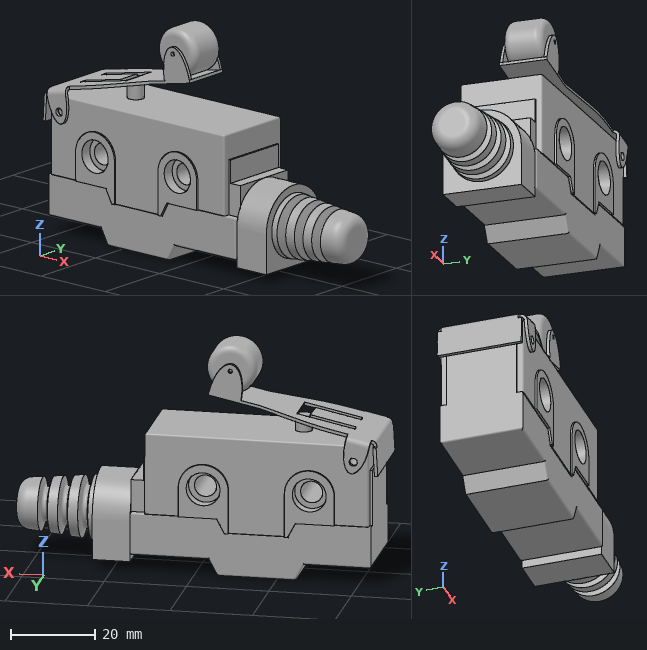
import cadquery as cq
import math


overall_length = 89.1

case_width = 20.9
edge_radius = 0.5
joint_radius = 0.3
base_length = 58.5
base_bottom = 4.0
base_top = 14.3
foot_start, foot_end = 18.3, 37.3
foot_slope_run = 2.1
notch_bottom = 10.8
notch_slope_run = 1.9
core_width = 17.6
core_length = 55.5
core_top = 28.1
extension_top = 22.3
cover_start, cover_end = 0.5, 55.0
cover_top = 34.5

mount_x = (14.9, 40.6)
mount_z = 21.55
boss_radius = 6.1
boss_height = 0.45
mount_hole_diameter = 5.3
counterbore_diameter = 8.2
counterbore_depth = 2.9

plunger_x = 18.35
plunger_diameter = 4.1
plunger_top = 38.3

grip_length = 9.2
grip_width = 20.0
grip_bottom = 2.1
cable_z = 12.2
boot_length = 19.7
boot_radius = 8.0
boot_taper = 0.1
groove_count = 3
groove_start = 1.5
groove_pitch = 5.0
groove_width = 2.5
groove_depth = 2.5
groove_neck_radius = 0.7
boot_tip_radius = 3.0

pivot_x, pivot_z = 4.1, 30.6
pivot_diameter = 2.0
lever_tilt = 12.0
sheet = 0.8
plate_top = 5.9
plate_bottom = plate_top - sheet
flap_corner = -4.2
flap_bottom = -2.1
flap_tip_x = base_length + grip_length + boot_length - overall_length
flap_width = 21.2
flap_shoulder = 4.5
bend_radius = 1.25
plate_width = 19.4
ear_span = 22.9
ear_width = 5.9
ear_bend_radius = 1.7
ear_reach = 7.1
arm_width = 12.1

roller_u, roller_v = 34.2, 12.3
roller_diameter = 12.3
roller_width = 10.1
roller_edge_radius = 2.0
axle_hole_diameter = 1.0
roller_ear_width = 8.0
roller_ear_height = 8.9

arm_end = roller_u + roller_ear_width / 2

taper_start = 5.8
taper_arc_end, taper_arc_half_width = 15.6, 8.5
taper_end = 25.5

window_start, window_end = 2.2, 16.6
window_width = 9.4
tongue_end = 13.6
tongue_width = 6.1


def extrude_across(outline, width):
    """Extrude an XZ outline to the given width, centred on Y = 0."""
    return outline.extrude(width).translate((0, width / 2, 0))


def block(x_start, x_end, width, z_start, z_end):
    """Box centred on Y = 0."""
    size = (x_end - x_start, width, z_end - z_start)
    corner = (x_start, -width / 2, z_start)
    return cq.Workplane("XY").box(*size, centered=False).translate(corner)


def cross_hole(x, z, diameter):
    """Cutter for a hole along Y through the whole width."""
    return extrude_across(cq.Workplane("XZ").center(x, z).circle(diameter / 2), 2 * case_width)


def base_blank(width):
    """Base outline with its foot below and the notch for the cover above."""
    outline = (
        cq.Workplane("XZ")
        .moveTo(0, base_bottom)
        .lineTo(foot_start - foot_slope_run, base_bottom)
        .lineTo(foot_start, 0)
        .lineTo(foot_end, 0)
        .lineTo(foot_end + foot_slope_run, base_bottom)
        .lineTo(base_length, base_bottom)
        .lineTo(base_length, base_top)
        .lineTo(foot_end, base_top)
        .lineTo(foot_end - notch_slope_run, notch_bottom)
        .lineTo(foot_start + notch_slope_run, notch_bottom)
        .lineTo(foot_start, base_top)
        .lineTo(0, base_top)
        .close()
    )
    return extrude_across(outline, width)


def make_base():
    """Base with rounded right corners, bottom edges and top side edges."""
    base = base_blank(case_width)
    base = base.edges("|Z and >X").fillet(edge_radius)

    near_bottom = base_bottom + edge_radius / 2
    span = cq.Vector(base_length, case_width, base_top)
    below = cq.selectors.BoxSelector(-span, (2 * base_length, case_width, near_bottom))
    base = base.faces("<Y or >Y or <X").edges(below).fillet(edge_radius)
    above = cq.selectors.BoxSelector((-base_length, -case_width, near_bottom + edge_radius), 2 * span)
    top_side_edges = base.faces("<Y or >Y").edges(above).edges("not |Z")
    return top_side_edges.fillet(joint_radius)


def make_cover():
    cover = block(cover_start, cover_end, case_width, notch_bottom, cover_top)
    return cover.edges("|Z or >Z").fillet(edge_radius)


def make_bosses():
    """Round-topped pads round the mounting holes, on both sides of the case."""
    bosses = cq.Workplane("XY")
    for x in mount_x:
        outline = (
            cq.Workplane("XZ")
            .moveTo(x - boss_radius, notch_bottom)
            .lineTo(x - boss_radius, mount_z)
            .threePointArc((x, mount_z + boss_radius), (x + boss_radius, mount_z))
            .lineTo(x + boss_radius, notch_bottom)
            .close()
        )
        bosses = bosses.add(extrude_across(outline, case_width + 2 * boss_height))
    return bosses.combine()


def make_grip():
    """Cable grip with a half-round top, on the right end of the base."""
    radius = grip_width / 2
    return (
        cq.Workplane("YZ", origin=(base_length, 0, 0))
        .moveTo(-radius, grip_bottom)
        .lineTo(-radius, cable_z)
        .threePointArc((0, cable_z + radius), (radius, cable_z))
        .lineTo(radius, grip_bottom)
        .close()
        .extrude(grip_length)
    )


def boot_radius_at(distance):
    return boot_radius - boot_taper * distance


def make_boot():
    """Tapered, grooved boot turned about the cable axis."""
    outline = cq.Workplane("XZ", origin=(base_length + grip_length, 0, cable_z))
    outline = outline.moveTo(0, 0).lineTo(0, boot_radius)
    for index in range(groove_count):
        start = groove_start + index * groove_pitch
        end = start + groove_width
        middle = (start + end) / 2
        neck_radius = boot_radius_at(middle) - groove_depth
        flank_foot = neck_radius + groove_neck_radius
        outline = (
            outline.lineTo(start, boot_radius_at(start))
            .lineTo(middle - groove_neck_radius, flank_foot)
            .threePointArc((middle, neck_radius), (middle + groove_neck_radius, flank_foot))
            .lineTo(end, boot_radius_at(end))
        )
    outline = outline.lineTo(boot_length, boot_radius_at(boot_length)).lineTo(boot_length, 0).close()
    boot = outline.revolve(360, (0, 0, 0), (1, 0, 0))
    return boot.faces(">X").edges().fillet(boot_tip_radius)


def make_switch_body():
    upper = make_cover().union(make_bosses()).cut(base_blank(2 * case_width))
    body = make_base().union(upper)
    body = body.union(block(0, core_length, core_width, notch_bottom, core_top))
    body = body.union(block(0, base_length, core_width, notch_bottom, extension_top))
    body = body.union(make_grip()).union(make_boot())

    plunger = cq.Workplane("XY", origin=(plunger_x, 0, core_top)).circle(plunger_diameter / 2)
    body = body.union(plunger.extrude(plunger_top - core_top))

    boss_face = case_width / 2 + boss_height
    for x in mount_x:
        body = body.cut(cross_hole(x, mount_z, mount_hole_diameter))
        counterbores = cross_hole(x, mount_z, counterbore_diameter)
        web = block(0, base_length, 2 * (boss_face - counterbore_depth), 0, cover_top)
        body = body.cut(counterbores.cut(web))
    return body.cut(cross_hole(pivot_x, pivot_z, pivot_diameter))


def half_ellipse(u, v, width, height, span):
    """Half-elliptical slab with its flat edge at height v; a negative height points it down."""
    outline = cq.Workplane("XZ").center(u, v).ellipse(width / 2, abs(height))
    slab = extrude_across(outline, span)
    keep = block(u - width, u + width, 2 * span, min(v, v + height), max(v, v + height))
    return slab.intersect(keep)


def make_plate():
    """Flat arm that narrows towards the roller."""
    half, arm_half = plate_width / 2, arm_width / 2
    outline = (
        cq.Workplane("XY", origin=(0, 0, plate_bottom))
        .moveTo(-ear_width / 2, 0)
        .lineTo(-ear_width / 2, -half)
        .lineTo(taper_start, -half)
        .tangentArcPoint((taper_arc_end, -taper_arc_half_width), relative=False)
        .lineTo(taper_end, -arm_half)
        .lineTo(arm_end, -arm_half)
        .lineTo(arm_end, 0)
        .close()
    )
    half_plate = outline.extrude(sheet)
    return half_plate.union(half_plate.mirror("XZ"))


def window_cutter():
    """U-shaped cutter: a rectangular window less the tongue left standing in it."""
    window = block(window_start, window_end, window_width, 0, roller_v)
    tongue = block(window_start, tongue_end, tongue_width, 0, roller_v)
    return window.cut(tongue)


def make_flap():
    """Strip bent down over the left end of the case."""
    tilt = math.radians(lever_tilt)
    tip = (flap_tip_x - pivot_x + flap_bottom * math.sin(tilt)) / math.cos(tilt)
    lean = math.atan2(flap_corner - tip, plate_top - flap_bottom)
    inner_corner = flap_corner + sheet * (1 - math.sin(lean)) / math.cos(lean)
    outline = (
        cq.Workplane("XZ")
        .moveTo(-ear_width / 2, plate_top)
        .lineTo(flap_corner, plate_top)
        .lineTo(tip, flap_bottom)
        .lineTo(tip + sheet * math.cos(lean), flap_bottom - sheet * math.sin(lean))
        .lineTo(inner_corner, plate_bottom)
        .lineTo(-ear_width / 2, plate_bottom)
        .close()
    )
    flap = extrude_across(outline, flap_width)

    inner_edge = cq.selectors.NearestToPointSelector((inner_corner, 0, plate_bottom))
    outer_edge = cq.selectors.NearestToPointSelector((flap_corner, 0, plate_top))
    flap = flap.edges(outer_edge).fillet(bend_radius)
    flap = flap.edges(inner_edge).fillet(bend_radius - sheet)

    above_shoulder = block(tip, 0, 2 * flap_width, flap_shoulder, 2 * plate_top)
    return flap.cut(above_shoulder.cut(block(tip, 0, plate_width, 0, 2 * plate_top)))


def make_pivot_ears():
    """Ears bent down from both plate edges, hugging the sides of the case."""
    bend_v = plate_top - ear_bend_radius
    ear_bottom = bend_v - ear_reach
    channel = block(-ear_width / 2, ear_width / 2, ear_span, ear_bottom, plate_top)
    channel = channel.edges("|X and >Z").fillet(ear_bend_radius)
    inside = block(-ear_width, ear_width, ear_span - 2 * sheet, ear_bottom - sheet, plate_bottom)
    inside = inside.edges("|X and >Z").fillet(ear_bend_radius - sheet)
    bends = block(-ear_width / 2, ear_width / 2, ear_span, bend_v, plate_top)
    tabs = half_ellipse(0, bend_v, ear_width, -ear_reach, ear_span)
    return channel.cut(inside).intersect(bends.union(tabs))


def make_roller_ears():
    """Upright ears that carry the roller."""
    ears = half_ellipse(roller_u, plate_bottom, roller_ear_width, roller_ear_height, arm_width)
    slot = block(0, 2 * roller_u, arm_width - 2 * sheet, plate_bottom, 2 * roller_v)
    return ears.cut(slot)


def place_lever(shape):
    """Tilt a lever part about the pivot and move it to the case."""
    return shape.rotate((0, 0, 0), (0, 1, 0), -lever_tilt).translate((pivot_x, 0, pivot_z))


def make_lever():
    lever = make_plate().union(make_flap()).union(make_pivot_ears()).union(make_roller_ears())
    lever = lever.cut(window_cutter())
    lever = lever.cut(cross_hole(0, 0, pivot_diameter))
    lever = lever.cut(cross_hole(roller_u, roller_v, axle_hole_diameter))
    return place_lever(lever)


def make_roller():
    outline = cq.Workplane("XZ").center(roller_u, roller_v).circle(roller_diameter / 2)
    roller = extrude_across(outline, roller_width)
    roller = roller.edges().fillet(roller_edge_radius)
    return place_lever(roller.cut(cross_hole(roller_u, roller_v, axle_hole_diameter)))


switch_body = make_switch_body()
lever = make_lever()
roller = make_roller()

result = cq.Compound.makeCompound([switch_body.val(), lever.val(), roller.val()])